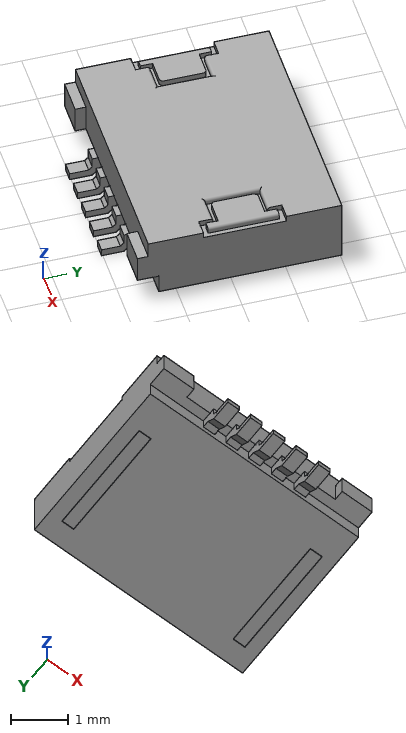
import cadquery as cq

width = 4.6
total_depth = 4.05
total_height = 1.23
standoff = 0.02
back_y = total_depth
front_y = 0.515
housing_depth = back_y - front_y

relief_y = 0.71
relief_z = 0.395
lug_width = 0.662
lug_front_y = 0.317
lug_top_z = 0.925

lead_count = 5
lead_pitch = 0.5
lead_width = 0.255
lead_arm_bottom_z = 0.16
lead_foot_thickness = 0.143
lead_face_y = 0.41
lead_bend_bottom_y = 0.575
lead_bend_top_y = 0.345
lead_bend_top_z = 0.205

pad_inset = 0.28
pad_width = 0.258
pad_back_gap = 0.432
pad_length = 2.22

latch_y = front_y + housing_depth / 2
pocket_depth = 0.11
floor_z = total_height - pocket_depth
pocket_head_reach = 0.3
pocket_head_length = 1.515
pocket_stem_reach = 0.79
pocket_stem_length = 0.995
pocket_rim_radius = 0.055
latch_inset = 0.085
latch_head_reach = 0.23
latch_head_length = 1.295
latch_stem_reach = 0.71
latch_stem_length = 0.85
latch_corner_radius = 0.07
latch_edge_radius = 0.05


def block(x_min, x_max, y_min, y_max, z_min, z_max):
    return cq.Workplane("XY").box(
        x_max - x_min, y_max - y_min, z_max - z_min, centered=False
    ).translate((x_min, y_min, z_min))


def side_block(outer_inset, reach, length, z_min, z_max):
    """Block centred on the latch, between two distances from the -X side."""
    return block(
        outer_inset - width / 2, reach - width / 2,
        latch_y - length / 2, latch_y + length / 2,
        z_min, z_max,
    )


def both_sides(left_shape):
    return left_shape.union(left_shape.mirror("YZ"))


def make_housing():
    half_width = width / 2
    housing = block(-half_width, half_width, front_y, back_y, standoff, total_height)
    relief = block(-half_width, half_width, front_y, relief_y, standoff, relief_z)
    lug = block(-half_width, lug_width - half_width, lug_front_y, relief_y, relief_z, lug_top_z)
    return housing.cut(relief).union(both_sides(lug))


def cut_pockets(housing):
    """Cut the stems and round their rims, then cut the heads across the rounded ends."""
    stem = side_block(0, pocket_stem_reach, pocket_stem_length, floor_z, total_height)
    housing = housing.cut(both_sides(stem))

    strip_half_length = pocket_stem_length / 2 + pocket_rim_radius
    stem_rim = cq.selectors.BoxSelector(
        (-width, latch_y - strip_half_length, floor_z),
        (width, latch_y + strip_half_length, total_height + pocket_depth),
    )
    housing = housing.faces(">Z").edges(stem_rim).fillet(pocket_rim_radius)

    head = side_block(0, pocket_head_reach, pocket_head_length, floor_z, total_height)
    return housing.cut(both_sides(head))


def make_latch():
    head = side_block(latch_inset, latch_head_reach, latch_head_length, floor_z, total_height)
    head = head.edges("<X and >Z").fillet(latch_edge_radius)
    stem = side_block(latch_head_reach, latch_stem_reach, latch_stem_length, floor_z, total_height)
    stem = stem.edges("|Z and >X").fillet(latch_corner_radius)
    return head.union(stem)


def make_pads():
    pad_left = pad_inset - width / 2
    pad_back = back_y - pad_back_gap
    pad = block(pad_left, pad_left + pad_width, pad_back - pad_length, pad_back, 0, standoff)
    return both_sides(pad)


def make_lead(center_x):
    profile = [
        (relief_y, relief_z),
        (lead_face_y, relief_z),
        (lead_face_y, lead_bend_top_z),
        (lead_bend_top_y, lead_foot_thickness),
        (0, lead_foot_thickness),
        (0, 0),
        (lead_face_y, 0),
        (lead_bend_bottom_y, lead_arm_bottom_z),
        (relief_y, lead_arm_bottom_z),
    ]
    lead = cq.Workplane("YZ").polyline(profile).close().extrude(lead_width)
    return lead.translate((center_x - lead_width / 2, 0, 0))


result = cut_pockets(make_housing())
result = result.union(both_sides(make_latch()))
result = result.union(make_pads())
for lead_index in range(lead_count):
    lead_x = (lead_index - (lead_count - 1) / 2) * lead_pitch
    result = result.union(make_lead(lead_x))